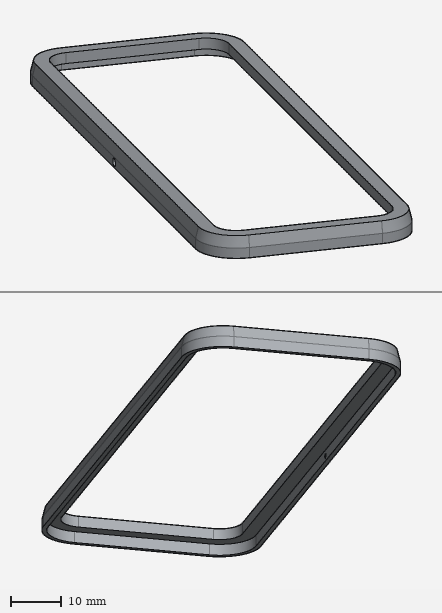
import cadquery as cq

length = 122.0
width = 45.0
height = 4.6

corner_radius = 8.5
wall = 3.8
base_height = 2.2
top_inset = 0.6

lip = 1.0
rebate_height = 2.3

hole_outer_diameter = 1.7
hole_inner_diameter = 0.9
hole_height = base_height / 2


def rounded_outline(bottom, inset):
    """Rounded rectangle, moved in from the base outline about the same corner centres."""
    return (
        cq.Sketch()
        .rect(length - 2 * inset, width - 2 * inset)
        .vertices()
        .fillet(corner_radius - inset)
        .moved(cq.Location(cq.Vector(0, 0, bottom)))
    )


def outer_body():
    """Straight base with a tapered upper part."""
    base = cq.Workplane("XY").placeSketch(rounded_outline(0, 0)).extrude(base_height)
    taper = (
        cq.Workplane("XY")
        .placeSketch(rounded_outline(base_height, 0), rounded_outline(height, top_inset))
        .loft(ruled=True)
    )
    return base.union(taper)


def inner_void():
    """Straight opening, widened at the bottom by the rebate."""
    opening = cq.Workplane("XY").placeSketch(rounded_outline(0, wall)).extrude(height)
    rebate = cq.Workplane("XY").placeSketch(rounded_outline(0, lip)).extrude(rebate_height)
    return opening.union(rebate)


def lip_hole():
    """Cone narrowing from the outer side to the inner side of the lip."""
    return cq.Workplane(
        cq.Solid.makeCone(
            hole_outer_diameter / 2,
            hole_inner_diameter / 2,
            lip,
            pnt=cq.Vector(0, -width / 2, hole_height),
            dir=cq.Vector(0, 1, 0),
        )
    )


result = outer_body().cut(inner_void()).cut(lip_hole())